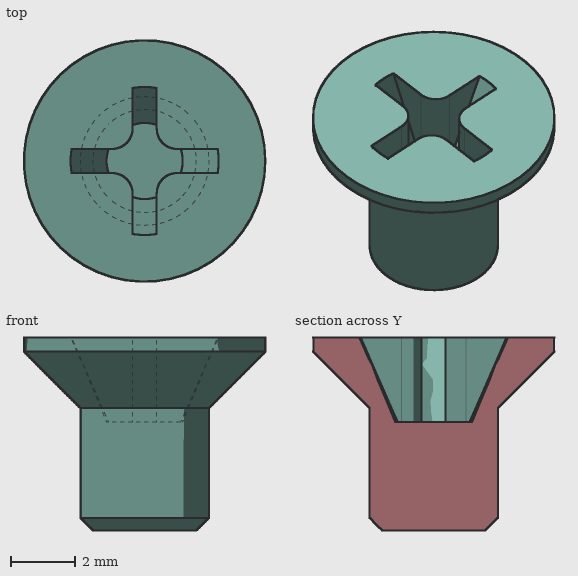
import cadquery as cq

head_diameter = 7.5
shank_diameter = 4.0
total_length = 6.0
rim_height = 0.44
tip_chamfer = 0.4

recess_top_diameter = 4.6
recess_floor_diameter = 2.36
recess_depth = 2.625
slot_width = 0.75
inner_corner_radius = 0.63

head_radius = head_diameter / 2
shank_radius = shank_diameter / 2
cone_height = head_radius - shank_radius


def make_body():
    """Revolve the half profile of the head, shank and chamfered tip."""
    return (
        cq.Workplane("XZ")
        .lineTo(head_radius, 0)
        .lineTo(head_radius, -rim_height)
        .lineTo(shank_radius, -rim_height - cone_height)
        .lineTo(shank_radius, -total_length + tip_chamfer)
        .lineTo(shank_radius - tip_chamfer, -total_length)
        .lineTo(0, -total_length)
        .close()
        .revolve(360, (0, 0, 0), (0, 1, 0))
    )


def make_recess():
    """Trim a straight-walled cross to a cone that narrows downward."""
    cross = (
        cq.Workplane("XY")
        .rect(head_diameter, slot_width)
        .extrude(-recess_depth)
        .union(cq.Workplane("XY").rect(slot_width, head_diameter).extrude(-recess_depth))
    )
    inner_corners = cq.selectors.BoxSelector(
        (-slot_width, -slot_width, -recess_depth), (slot_width, slot_width, 0)
    )
    cross = cross.edges("|Z").edges(inner_corners).fillet(inner_corner_radius)
    cone = (
        cq.Workplane("XY")
        .circle(recess_top_diameter / 2)
        .workplane(offset=-recess_depth)
        .circle(recess_floor_diameter / 2)
        .loft(ruled=True)
    )
    return cross.intersect(cone)


result = make_body().cut(make_recess())